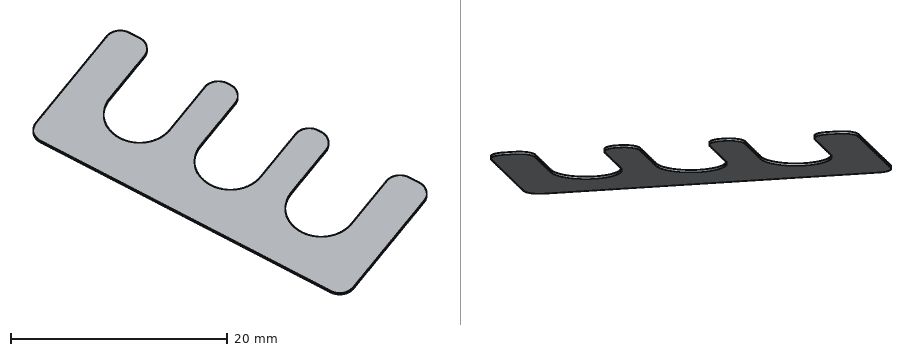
import cadquery as cq

length = 35
depth = 15.0
thickness = 0.25
corner_radius = 1.5

slot_count = 3
slot_pitch = 10.0
slot_width = 6.65
web_depth = 4.27

slot_radius = slot_width / 2
slot_bottom_y = -depth / 2 + web_depth
slot_center_y = slot_bottom_y + slot_radius


def make_slot(center_x):
    """Cutter with a half-round bottom and straight sides up to the +Y edge."""
    left = center_x - slot_radius
    right = center_x + slot_radius
    return (
        cq.Workplane("XY", origin=(0, 0, -thickness / 2))
        .moveTo(left, depth / 2)
        .lineTo(left, slot_center_y)
        .threePointArc((center_x, slot_bottom_y), (right, slot_center_y))
        .lineTo(right, depth / 2)
        .close()
        .extrude(thickness)
    )


plate = cq.Workplane("XY").box(length, depth, thickness)
for index in range(slot_count):
    slot_x = (index - (slot_count - 1) / 2) * slot_pitch
    plate = plate.cut(make_slot(slot_x))

finger_tips = plate.faces(">Y").edges("|Z")
base_corners = plate.faces("<Y").edges("|Z")
result = plate.newObject(finger_tips.vals() + base_corners.vals()).fillet(corner_radius)